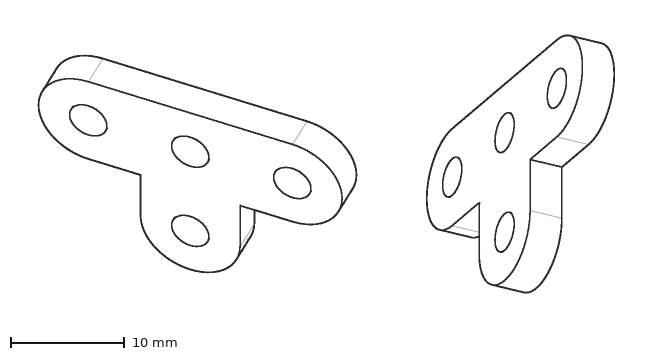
import cadquery as cq

overall_length = 29.08
hole_pitch = 9.77
thickness = 3.17
hole_diameter = 3.58

arm_width = overall_length - 2 * hole_pitch

back_face = cq.Workplane("XZ", origin=(0, thickness / 2, 0))

crossbar = back_face.slot2D(overall_length, arm_width).extrude(thickness)

stem = (
    back_face.center(0, -hole_pitch / 2)
    .slot2D(hole_pitch + arm_width, arm_width, 90)
    .extrude(thickness)
)

hole_centers = [(-hole_pitch, 0), (0, 0), (hole_pitch, 0), (0, -hole_pitch)]
holes = back_face.pushPoints(hole_centers).circle(hole_diameter / 2).extrude(thickness)

result = crossbar.union(stem).clean().cut(holes)